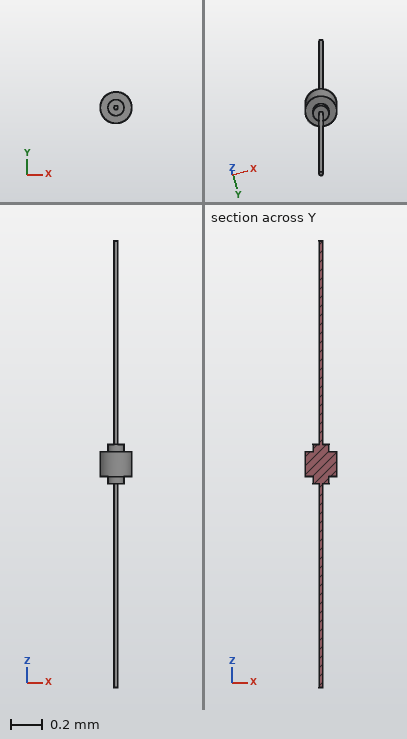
import cadquery as cq

total_length = 2.81
lead_diameter = 0.025
body_diameter = 0.2
body_length = 0.157
collar_diameter = 0.1
collar_length = 0.045


def centred_cylinder(diameter, length):
    """Cylinder on the Z axis, centred on the origin."""
    return cq.Workplane("XY").cylinder(length, diameter / 2)


body = centred_cylinder(body_diameter, body_length)
collars = centred_cylinder(collar_diameter, body_length + 2 * collar_length)
leads = centred_cylinder(lead_diameter, total_length)

result = body.union(collars).union(leads)